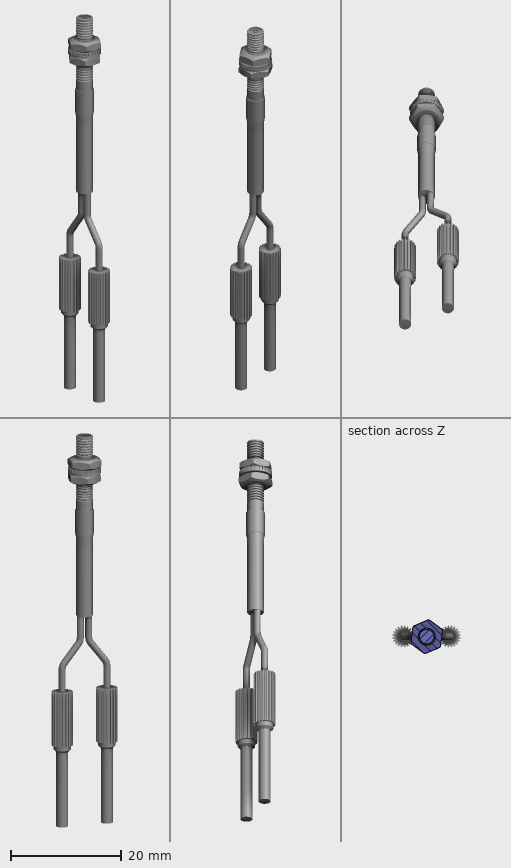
import cadquery as cq
import math

total_length = 73.4

thread_radius = 3.0 / 2
thread_pitch = 0.5
thread_depth = 0.2
thread_crest = 0.2
thread_root = 0.1
thread_bottom = 61.35
tip_bore_radius = 2.4 / 2
tip_bore_depth = 0.15
fibre_recess_depth = 0.15
core_radius = 0.26
core_recess_radius = 0.5
fibre_count = 8
fibre_radius = 0.09
fibre_circle_radius = 0.9
sleeve_radius = 1.7
sleeve_top = 59.45
sleeve_bottom = 54.9
cone_top_radius = 1.6
cone_bottom = 52.55
jacket_bottom = 39.5

branch_radius = 0.64
branch_inner_x = 0.8
branch_outer_x = 4.25
bend_top = 35.2
bend_bottom = 29.65
bend_radius = 1.7

grip_top = 25.4
grip_bottom = 15.35
grip_outer_radius = 2.0
grip_root_radius = 3.3 / 2
grip_teeth = 20
collar_radius = 3.15 / 2
collar_bottom = 14.1
collar_chamfer = 0.45
rod_radius = 1.1

root_gap_share = 0.4
tip_gap_share = 0.5

nut_width = 5.5
nut_height = 1.8
nut_chamfer_angle = 30.0
nut_face_radius = 2.35
lower_nut_bottom = 64.7
lower_nut_turn = -7.0
upper_nut_turn = 0.0
washer_radius = 3.0
flat_washer_height = 0.45
toothed_washer_height = 0.5
toothed_washer_teeth = 28
toothed_washer_root_radius = 2.8

flat_washer_bottom = lower_nut_bottom + nut_height
toothed_washer_bottom = flat_washer_bottom + flat_washer_height
upper_nut_bottom = toothed_washer_bottom + toothed_washer_height


def cylinder(radius, bottom, top, x=0.0):
    """Upright cylinder between two heights."""
    return cq.Workplane("XY", origin=(x, 0, bottom)).circle(radius).extrude(top - bottom)


def ring_of_teeth(root_radius, tip_radius, teeth, bottom, top, x=0.0):
    """Upright gear-like prism with a gap, not a tooth, centred on the +X direction."""
    pitch_angle = 2 * math.pi / teeth
    corners = (
        (root_radius, root_gap_share / 2),
        (tip_radius, tip_gap_share / 2),
        (tip_radius, 1 - tip_gap_share / 2),
        (root_radius, 1 - root_gap_share / 2),
    )
    points = []
    for tooth in range(teeth):
        for radius, share in corners:
            angle = (tooth + share) * pitch_angle
            points.append((radius * math.cos(angle), radius * math.sin(angle)))
    return cq.Workplane("XY", origin=(x, 0, bottom)).polyline(points).close().extrude(top - bottom)


def threaded_head():
    """Stud whose thread is a stack of ring grooves."""
    turns = int((total_length - thread_bottom) / thread_pitch)
    root_radius = thread_radius - thread_depth
    flank_rise = (thread_pitch - thread_crest - thread_root) / 2
    outline = cq.Workplane("XZ").moveTo(0, sleeve_top).lineTo(thread_radius, sleeve_top)
    for turn in range(turns):
        groove = thread_bottom + turn * thread_pitch
        outline = outline.lineTo(thread_radius, groove)
        outline = outline.lineTo(root_radius, groove + flank_rise)
        outline = outline.lineTo(root_radius, groove + flank_rise + thread_root)
        outline = outline.lineTo(thread_radius, groove + thread_pitch - thread_crest)
    outline = outline.lineTo(thread_radius, total_length).lineTo(0, total_length).close()
    return outline.revolve(360, (0, 0, 0), (0, 1, 0))


def tip_recesses():
    """Shallow bore in the stud tip, with a ring around the core and a circle of fibre ends in its floor."""
    floor = total_length - tip_bore_depth
    bottom = floor - fibre_recess_depth
    bore = cylinder(tip_bore_radius, floor, total_length)
    core_ring = cylinder(core_recess_radius, bottom, floor).cut(cylinder(core_radius, bottom, floor))
    fibres = (
        cq.Workplane("XY", origin=(0, 0, bottom))
        .polarArray(fibre_circle_radius, 180 / fibre_count, 360, fibre_count)
        .circle(fibre_radius)
        .extrude(fibre_recess_depth)
    )
    return bore.union(core_ring).union(fibres)


def sleeve_and_jacket():
    """Crimp sleeve, its tapered tail and the common cable jacket."""
    outline = (
        cq.Workplane("XZ")
        .moveTo(0, sleeve_top)
        .lineTo(sleeve_radius, sleeve_top)
        .lineTo(sleeve_radius, sleeve_bottom)
        .lineTo(cone_top_radius, sleeve_bottom)
        .lineTo(thread_radius, cone_bottom)
        .lineTo(thread_radius, jacket_bottom)
        .lineTo(0, jacket_bottom)
        .close()
    )
    return outline.revolve(360, (0, 0, 0), (0, 1, 0))


def branch(side):
    """Bent cable from the jacket to the plug; side is +1 or -1 along X."""
    offset = branch_outer_x - branch_inner_x
    drop = bend_top - bend_bottom
    centre_across = 2 * bend_radius - offset
    lean = math.asin(2 * bend_radius / math.hypot(centre_across, drop)) - math.atan2(centre_across, drop)
    half = lean / 2
    across = bend_radius * (1 - math.cos(lean))
    down = bend_radius * math.sin(lean)
    mid_across = bend_radius * (1 - math.cos(half))
    mid_down = bend_radius * math.sin(half)
    path = (
        cq.Workplane("XZ")
        .moveTo(side * branch_inner_x, jacket_bottom)
        .lineTo(side * branch_inner_x, bend_top)
        .threePointArc(
            (side * (branch_inner_x + mid_across), bend_top - mid_down),
            (side * (branch_inner_x + across), bend_top - down),
        )
        .lineTo(side * (branch_outer_x - across), bend_bottom + down)
        .threePointArc(
            (side * (branch_outer_x - mid_across), bend_bottom + mid_down),
            (side * branch_outer_x, bend_bottom),
        )
        .lineTo(side * branch_outer_x, grip_top)
    )
    start = cq.Workplane("XY", origin=(side * branch_inner_x, 0, jacket_bottom))
    return start.circle(branch_radius).sweep(path)


def plug(side):
    """Knurled grip, chamfered collar and plain rod."""
    x = side * branch_outer_x
    grip = ring_of_teeth(grip_root_radius, grip_outer_radius, grip_teeth, grip_bottom, grip_top, x)
    collar = cylinder(collar_radius, collar_bottom, grip_bottom, x).faces("<Z").chamfer(collar_chamfer)
    return grip.union(collar).union(cylinder(rod_radius, 0, collar_bottom, x))


def make_sensor():
    """Head, jacket, branches and plugs as one solid."""
    sensor = threaded_head().cut(tip_recesses()).union(sleeve_and_jacket())
    for side in (-1, 1):
        sensor = sensor.union(branch(side)).union(plug(side))
    return sensor


def make_nut(bottom, turn):
    """Hex nut chamfered on both faces; before the turn its flats face +X and -X."""
    corner_radius = nut_width / math.sqrt(3)
    chamfer_drop = (corner_radius - nut_face_radius) * math.tan(math.radians(nut_chamfer_angle))
    hexagon = cq.Workplane("XY").polygon(6, 2 * corner_radius).extrude(nut_height)
    hexagon = hexagon.rotate((0, 0, 0), (0, 0, 1), 90 + turn)
    envelope = (
        cq.Workplane("XZ")
        .moveTo(0, 0)
        .lineTo(nut_face_radius, 0)
        .lineTo(corner_radius, chamfer_drop)
        .lineTo(corner_radius, nut_height - chamfer_drop)
        .lineTo(nut_face_radius, nut_height)
        .lineTo(0, nut_height)
        .close()
        .revolve(360, (0, 0, 0), (0, 1, 0))
    )
    bore = cylinder(thread_radius, 0, nut_height)
    return hexagon.intersect(envelope).cut(bore).translate((0, 0, bottom))


def make_flat_washer():
    """Plain ring resting on the lower nut."""
    top = flat_washer_bottom + flat_washer_height
    disc = cylinder(washer_radius, flat_washer_bottom, top)
    bore = cylinder(thread_radius, flat_washer_bottom, top)
    return disc.cut(bore)


def make_toothed_washer():
    """Externally toothed lock washer between the flat washer and the upper nut."""
    bottom = toothed_washer_bottom
    top = bottom + toothed_washer_height
    toothed = ring_of_teeth(toothed_washer_root_radius, washer_radius, toothed_washer_teeth, bottom, top)
    return toothed.cut(cylinder(thread_radius, bottom, top))


sensor = make_sensor()
nuts = [make_nut(lower_nut_bottom, lower_nut_turn), make_nut(upper_nut_bottom, upper_nut_turn)]
flat_washer = make_flat_washer()
toothed_washer = make_toothed_washer()

result = cq.Compound.makeCompound(
    [sensor.val(), *[nut.val() for nut in nuts], flat_washer.val(), toothed_washer.val()]
)